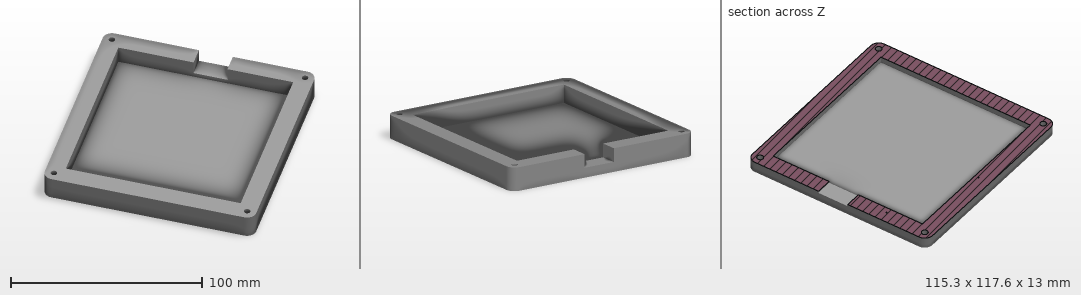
import cadquery as cq

length_x = 115.3
length_y = 117.6
height = 13.0

wall = 10.0
corner_radius = 5.1
hole_inset = wall / 2
hole_diameter = 3.4

floor_thickness = 3.0
pocket_x = length_x - 2 * wall
pocket_y = length_y - 2 * wall

notch_width = 18.5
notch_depth = 7.5
notch_center_x = 2.6


def make_block():
    """Plate with rounded vertical corners."""
    block = cq.Workplane("XY").box(length_x, length_y, height, centered=(True, True, False))
    return block.edges("|Z").fillet(corner_radius)


def make_pocket():
    """Square-cornered cavity above the floor."""
    return (
        cq.Workplane("XY", origin=(0, 0, floor_thickness))
        .rect(pocket_x, pocket_y)
        .extrude(height - floor_thickness)
    )


def make_notch():
    """Slot cut down from the rim, from the pocket out through the +Y side."""
    wall_center_y = (length_y - wall) / 2
    return (
        cq.Workplane("XY", origin=(notch_center_x, wall_center_y, height - notch_depth))
        .rect(notch_width, wall)
        .extrude(notch_depth)
    )


def make_screw_holes():
    """Through holes at the four corners."""
    return (
        cq.Workplane("XY")
        .rect(length_x - 2 * hole_inset, length_y - 2 * hole_inset, forConstruction=True)
        .vertices()
        .circle(hole_diameter / 2)
        .extrude(height)
    )


result = make_block().cut(make_pocket()).cut(make_notch()).cut(make_screw_holes())